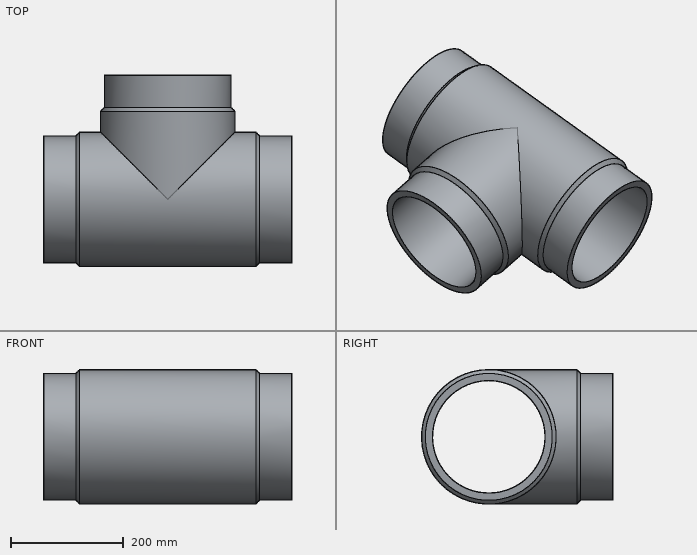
import cadquery as cq

run_length = 440.0
body_diameter = 238.5
spigot_diameter = 225.0
bore_diameter = 199.0
spigot_length = 57.0

arm_length = run_length / 2
body_radius = body_diameter / 2
spigot_radius = spigot_diameter / 2
bevel = body_radius - spigot_radius
body_length = arm_length - spigot_length


def cylinder(plane, radius, length):
    """Cylinder starting at the tee centre and running along the plane normal."""
    return cq.Workplane(plane).circle(radius).extrude(length)


def outer_arm(plane):
    """Thick body, bevelled down to a thinner spigot at the open end."""
    spigot = cylinder(plane, spigot_radius, arm_length)
    end_face = cq.selectors.DirectionMinMaxSelector(plane.zDir, True)
    body = cylinder(plane, body_radius, body_length).faces(end_face).chamfer(bevel)
    return body.union(spigot)


centre = (0, 0, 0)
arm_directions = [(1, 0, 0), (-1, 0, 0), (0, 1, 0)]
arm_planes = [cq.Plane(origin=centre, xDir=(0, 0, 1), normal=d) for d in arm_directions]

tee = outer_arm(arm_planes[0])
for arm_plane in arm_planes[1:]:
    tee = tee.union(outer_arm(arm_plane))

for arm_plane in arm_planes:
    tee = tee.cut(cylinder(arm_plane, bore_diameter / 2, arm_length))

result = tee.clean()